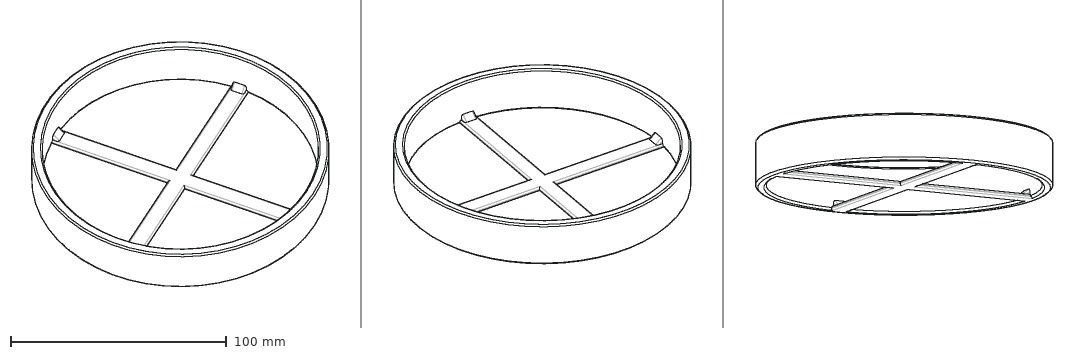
import cadquery as cq

outer_diameter = 138.0
bore_diameter = 128.0
height = 22.0
ring_top_chamfer = 0.8
ring_bottom_chamfer = 1.1
bore_radius = bore_diameter / 2

bar_width = 8.7
bar_thickness = 2.0
bar_fillet = 0.8
bar_top_width = bar_width - 2 * bar_fillet

gusset_run = 3.2
gusset_rise = 2.8
gusset_fillet = 1.0

wall_overlap = 1.4
inner_reach = bore_radius + wall_overlap


def make_ring():
    ring = cq.Workplane("XY").circle(outer_diameter / 2).circle(bore_radius).extrude(height)
    ring = ring.faces(">Z").edges().chamfer(ring_top_chamfer)
    return ring.faces("<Z").edges().chamfer(ring_bottom_chamfer)


def make_cross():
    along_x = cq.Workplane("XY").rect(2 * inner_reach, bar_width).extrude(bar_thickness)
    along_y = along_x.rotate((0, 0, 0), (0, 0, 1), 90)
    cross = along_x.union(along_y).clean()
    long_edges = "not(<X or >X or <Y or >Y)"
    return cross.faces("<Z or >Z").edges(long_edges).fillet(bar_fillet)


def make_gusset(angle):
    """Ramp rising from the bar to the bore, with both sloping edges rounded."""
    toe = bore_radius - gusset_run
    back_rise = gusset_rise * (inner_reach - toe) / gusset_run
    profile = [
        (toe, bar_thickness),
        (inner_reach, bar_thickness),
        (inner_reach, bar_thickness + back_rise),
    ]
    ramp = cq.Workplane("XZ").polyline(profile).close().extrude(bar_top_width / 2, both=True)
    sloping_edges = "not(|X or |Y or |Z)"
    ramp = ramp.edges(sloping_edges).fillet(gusset_fillet)
    return ramp.rotate((0, 0, 0), (0, 0, 1), angle)


result = make_ring().union(make_cross())
for quarter_turn in range(4):
    result = result.union(make_gusset(90 * quarter_turn))